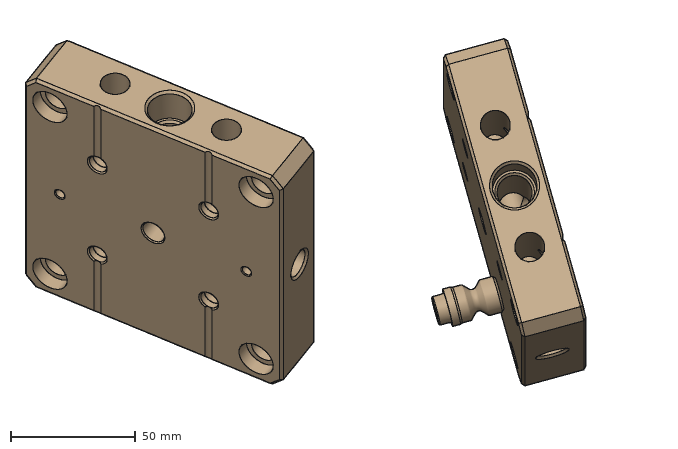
import cadquery as cq
import math

PLATE_SIDE = 120.0
PLATE_THICKNESS = 27.0
CORNER_CUT = 5.0
EDGE_CHAMFER = 1.2
HALF_SIDE = PLATE_SIDE / 2
FRONT_Y = -PLATE_THICKNESS / 2
BACK_Y = PLATE_THICKNESS / 2

MOUNT_OFFSET = 48.0
MOUNT_DIAMETER = 11.0
MOUNT_HEAD_DIAMETER = 16.0
MOUNT_HEAD_DEPTH = 6.0

INNER_OFFSET = 25.9
INNER_DIAMETER = 7.8
INNER_FRONT_DIAMETER = 8.0
INNER_FRONT_DEPTH = 3.5
INNER_MOUTH_DIAMETER = 9.2
GROOVE_WIDTH = 3.2
GROOVE_DEPTH = 0.6

CENTRE_DIAMETER = 10.0
CENTRE_MOUTH_DIAMETER = 11.0
CENTRE_BACK_DIAMETER = 11.0
TAPPED_OFFSET = 43.5
TAPPED_DIAMETER = 4.2
TAPPED_MOUTH_DIAMETER = 5.0

BORE_DIAMETER = 12.0
BORE_Y = 0.8
CROSS_BORE_MOUTH_DIAMETER = 14.0

PORT_MOUTH_DIAMETER = 20.2
PORT_DIAMETER = 18.0
PORT_DEPTH = 15.0
PORT_CONE_DIAMETER = 16.0
PORT_BORE_DIAMETER = 14.0

NIPPLE_HEIGHT = 26.9
COLLAR_DIAMETER = 15.0
COLLAR_CHAMFER = 1.0
NECK_HEIGHT = 10.1
NECK_DIAMETER = 9.1
NECK_ROUND = 1.9
NECK_RIM_ROUND = 0.7
FLANGE_DIAMETER = 15.7
FLANGE_BASE_HEIGHT = 18.5
FLANGE_TOP_HEIGHT = 21.7
FLANGE_TAPER = 0.8
TIP_DIAMETER = 12.0
TIP_CHAMFER = 0.5
TIP_BASE_DIAMETER = 12.2
TIP_BASE_HEIGHT = 0.7
TIP_TAPER_HEIGHT = 0.6
SHANK_LENGTH = 6.6
SOCKET_MOUTH_DIAMETER = 7.5
SOCKET_DIAMETER = 6.8


def drill(start, direction, diameter, depth, mouth_diameter=None):
    """Cutter for a round hole, with a 45 degree countersink when a mouth diameter is given."""
    start = cq.Vector(*start)
    direction = cq.Vector(*direction)
    cutter = cq.Workplane(cq.Solid.makeCylinder(diameter / 2, depth, start, direction))
    if mouth_diameter is not None:
        sink_depth = (mouth_diameter - diameter) / 2
        sink = cq.Solid.makeCone(mouth_diameter / 2, diameter / 2, sink_depth, start, direction)
        cutter = cutter.union(cq.Workplane(sink))
    return cutter


def front_hole(x, z, diameter, depth, mouth_diameter=None):
    return drill((x, FRONT_Y, z), (0, 1, 0), diameter, depth, mouth_diameter)


def plate_blank():
    slab = cq.Workplane("XY").box(PLATE_SIDE, PLATE_THICKNESS, PLATE_SIDE)
    slab = slab.edges("|Y").chamfer(CORNER_CUT)
    return slab.faces("<Y or >Y").chamfer(EDGE_CHAMFER)


def groove(x, z_side):
    """Round-bottomed channel in the front face, from an inner hole to the edge on the given Z side."""
    radius = ((GROOVE_WIDTH / 2) ** 2 + GROOVE_DEPTH ** 2) / (2 * GROOVE_DEPTH)
    axis_y = FRONT_Y + GROOVE_DEPTH - radius
    start = (x, axis_y, z_side * INNER_OFFSET)
    return drill(start, (0, 0, z_side), 2 * radius, HALF_SIDE - INNER_OFFSET)


def top_port():
    mouth = drill((0, 0, HALF_SIDE), (0, 0, -1), PORT_DIAMETER, PORT_DEPTH, PORT_MOUTH_DIAMETER)
    step_z = HALF_SIDE - PORT_DEPTH
    bore = drill((0, 0, step_z), (0, 0, -1), PORT_BORE_DIAMETER, step_z, PORT_CONE_DIAMETER)
    return mouth.union(bore)


def make_plate():
    plate = plate_blank()
    for x_side in (-1, 1):
        cross_bore = drill((x_side * HALF_SIDE, BORE_Y, 0), (-x_side, 0, 0), BORE_DIAMETER,
                           HALF_SIDE, CROSS_BORE_MOUTH_DIAMETER)
        long_bore = drill((x_side * INNER_OFFSET, BORE_Y, -HALF_SIDE), (0, 0, 1), BORE_DIAMETER, PLATE_SIDE)
        tapped = front_hole(x_side * TAPPED_OFFSET, 0, TAPPED_DIAMETER, BORE_Y - FRONT_Y, TAPPED_MOUTH_DIAMETER)
        plate = plate.cut(cross_bore).cut(long_bore).cut(tapped)
        for z_side in (-1, 1):
            mount_x = x_side * MOUNT_OFFSET
            mount_z = z_side * MOUNT_OFFSET
            plate = plate.cut(front_hole(mount_x, mount_z, MOUNT_DIAMETER, PLATE_THICKNESS))
            plate = plate.cut(front_hole(mount_x, mount_z, MOUNT_HEAD_DIAMETER, MOUNT_HEAD_DEPTH))
            inner_x = x_side * INNER_OFFSET
            inner_z = z_side * INNER_OFFSET
            inner_front = front_hole(inner_x, inner_z, INNER_FRONT_DIAMETER, INNER_FRONT_DEPTH,
                                     INNER_MOUTH_DIAMETER)
            plate = plate.cut(front_hole(inner_x, inner_z, INNER_DIAMETER, PLATE_THICKNESS))
            plate = plate.cut(inner_front).cut(groove(inner_x, z_side))
    centre = front_hole(0, 0, CENTRE_DIAMETER, PLATE_THICKNESS, CENTRE_MOUTH_DIAMETER)
    centre_back = drill((0, BACK_Y, 0), (0, -1, 0), CENTRE_BACK_DIAMETER, BACK_Y - BORE_Y)
    return plate.cut(centre).cut(centre_back).cut(top_port())


def make_nipple():
    """Turned nipple whose shank fills the back end of the lower inner hole on the -X side."""
    shank_r = INNER_DIAMETER / 2
    collar_r = COLLAR_DIAMETER / 2
    neck_r = NECK_DIAMETER / 2
    flange_r = FLANGE_DIAMETER / 2
    tip_r = TIP_DIAMETER / 2
    tip_base_r = TIP_BASE_DIAMETER / 2
    tip_base_top = FLANGE_TOP_HEIGHT + TIP_BASE_HEIGHT
    socket_r = SOCKET_DIAMETER / 2
    socket_mouth_r = SOCKET_MOUTH_DIAMETER / 2
    socket_floor = socket_mouth_r - socket_r - SHANK_LENGTH
    arc_half_height = NECK_ROUND * math.sin(math.pi / 4)
    arc_r = neck_r + NECK_ROUND - arc_half_height
    cone_half_height = arc_half_height + collar_r - arc_r
    profile = (
        cq.Workplane("XY")
        .moveTo(0, socket_floor)
        .lineTo(socket_r, socket_floor)
        .lineTo(socket_mouth_r, -SHANK_LENGTH)
        .lineTo(shank_r, -SHANK_LENGTH)
        .lineTo(shank_r, 0)
        .lineTo(collar_r - COLLAR_CHAMFER, 0)
        .lineTo(collar_r, COLLAR_CHAMFER)
        .lineTo(collar_r, NECK_HEIGHT - cone_half_height)
        .lineTo(arc_r, NECK_HEIGHT - arc_half_height)
        .threePointArc((neck_r, NECK_HEIGHT), (arc_r, NECK_HEIGHT + arc_half_height))
        .lineTo(collar_r, NECK_HEIGHT + cone_half_height)
        .lineTo(collar_r, FLANGE_BASE_HEIGHT - FLANGE_TAPER)
        .lineTo(flange_r, FLANGE_BASE_HEIGHT)
        .lineTo(flange_r, FLANGE_TOP_HEIGHT)
        .lineTo(tip_base_r, FLANGE_TOP_HEIGHT)
        .lineTo(tip_base_r, tip_base_top)
        .lineTo(tip_r, tip_base_top + TIP_TAPER_HEIGHT)
        .lineTo(tip_r, NIPPLE_HEIGHT - TIP_CHAMFER)
        .lineTo(tip_r - TIP_CHAMFER, NIPPLE_HEIGHT)
        .lineTo(0, NIPPLE_HEIGHT)
        .close()
    )
    nipple = profile.revolve(360, (0, 0, 0), (0, 1, 0))
    for rim_height in (NECK_HEIGHT - cone_half_height, NECK_HEIGHT + cone_half_height):
        nipple = nipple.edges(cq.NearestToPointSelector((0, rim_height, 0))).fillet(NECK_RIM_ROUND)
    return nipple.translate((-INNER_OFFSET, BACK_Y, -INNER_OFFSET))


plate = make_plate()
nipple = make_nipple()
result = cq.Compound.makeCompound([plate.val(), nipple.val()])